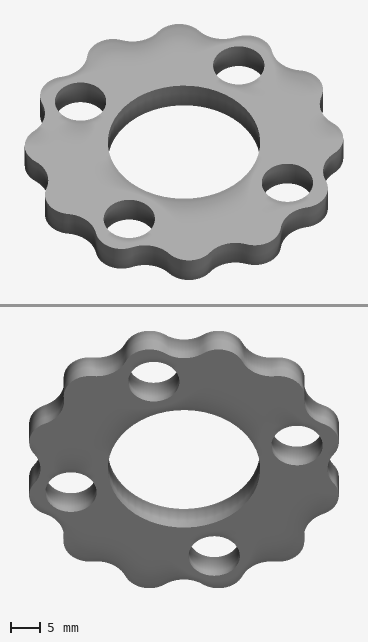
import cadquery as cq
import math

outer_radius = 27.3
thickness = 5.0

lobe_count = 12
lobe_radius = 4.5
valley_depth = 2.75

bore_diameter = 26.1
bolt_hole_diameter = 8.8
bolt_hole_count = 4
bolt_circle_radius = 20.0

lobe_pitch = 360.0 / lobe_count
half_pitch = lobe_pitch / 2
lobe_center_radius = outer_radius - lobe_radius
valley_bottom_radius = outer_radius - valley_depth


def polar(radius, angle):
    """Point at a radius and an angle in degrees from the +X axis."""
    turn = math.radians(angle)
    return (radius * math.cos(turn), radius * math.sin(turn))


def tangent_valley_radius():
    """Radius of the valley arc that touches both neighbouring lobe arcs.

    The law of cosines on the part axis, a lobe centre and a valley centre,
    with the two centres lobe_radius + valley_radius apart, is linear in it.
    """
    cosine = math.cos(math.radians(half_pitch))
    gap = (
        lobe_center_radius**2
        + valley_bottom_radius**2
        - 2 * lobe_center_radius * valley_bottom_radius * cosine
        - lobe_radius**2
    )
    return gap / (2 * (lobe_radius + lobe_center_radius * cosine - valley_bottom_radius))


def tangent_point():
    """Radius and angle, from the lobe axis, where a lobe arc meets a valley arc."""
    valley_radius = tangent_valley_radius()
    valley_x, valley_y = polar(valley_bottom_radius + valley_radius, half_pitch)
    share = lobe_radius / (lobe_radius + valley_radius)
    x = lobe_center_radius + share * (valley_x - lobe_center_radius)
    y = share * valley_y
    return math.hypot(x, y), math.degrees(math.atan2(y, x))


def scalloped_disc():
    joint_radius, joint_angle = tangent_point()
    rim = cq.Workplane("XY").moveTo(*polar(joint_radius, -joint_angle))
    for i in range(lobe_count):
        lobe_angle = i * lobe_pitch
        next_lobe_angle = lobe_angle + lobe_pitch
        rim = rim.threePointArc(
            polar(outer_radius, lobe_angle),
            polar(joint_radius, lobe_angle + joint_angle),
        )
        rim = rim.threePointArc(
            polar(valley_bottom_radius, lobe_angle + half_pitch),
            polar(joint_radius, next_lobe_angle - joint_angle),
        )
    return rim.close().extrude(thickness)


def bore():
    return cq.Workplane("XY").circle(bore_diameter / 2).extrude(thickness)


def bolt_holes():
    return (
        cq.Workplane("XY")
        .polarArray(bolt_circle_radius, 0, 360, bolt_hole_count)
        .circle(bolt_hole_diameter / 2)
        .extrude(thickness)
    )


result = scalloped_disc().cut(bore()).cut(bolt_holes())